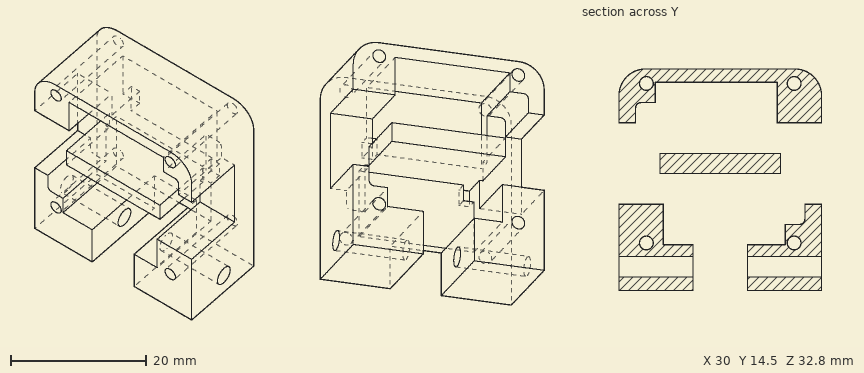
import cadquery as cq

width = 30.0
depth = 14.5
height = 32.8
top_corner_radius = 4.0

mid_height = 18.8
shelf_width = 17.88
shelf_thickness = 3.0

window_height = 12.0
window_depth = 10.0

step_half_width = 12.5
step_height = 3.0
step_corner_radius = 0.75

pocket_width = 18.0
pocket_height = 10.5
pocket_depth = 12.5
pocket_offset = 0.6

opening_width = 1.6
opening_height = 2.5

leg_gap = 8.0

screw_diameter = 2.0
screw_half_spacing = 10.92
screw_heights = (7.05, 30.65)

cross_diameter = 3.0
cross_height = 3.5
cross_from_front = 7.5

shelf_top = mid_height + shelf_thickness / 2
shelf_bottom = mid_height - shelf_thickness / 2
window_top = mid_height + window_height / 2


def front_block(x_min, x_max, z_min, z_max, block_depth):
    """Box that starts at the front face and runs back by block_depth."""
    block = cq.Workplane("XY").box(x_max - x_min, block_depth, z_max - z_min, centered=False)
    return block.translate((x_min, 0, z_min))


def upper_cutter():
    """Pocket, corner opening and stepped relief above the shelf."""
    pocket_left = pocket_offset - pocket_width / 2
    pocket_right = pocket_offset + pocket_width / 2
    pocket = front_block(pocket_left, pocket_right, shelf_top, shelf_top + pocket_height, pocket_depth)
    opening = front_block(
        pocket_left, pocket_left + opening_width, shelf_top, shelf_top + opening_height, depth
    )
    step = front_block(0, step_half_width, shelf_top, window_top + step_height, window_depth)
    step = step.edges("|Y and >X and >Z").fillet(step_corner_radius)
    return pocket.union(opening).union(step)


def lower_cutter():
    """The upper cutter turned half a turn about the middle of the shelf."""
    return upper_cutter().rotate((0, 0, mid_height), (0, 1, mid_height), 180)


def window_cutter():
    """Full-width window with the shelf left standing in it."""
    window = front_block(-width / 2, width / 2, window_top - window_height, window_top, window_depth)
    shelf = front_block(-shelf_width / 2, shelf_width / 2, shelf_bottom, shelf_top, window_depth)
    return window.cut(shelf)


def screw_holes():
    """Four holes that run through from front to back."""
    centres = [(x, z) for x in (-screw_half_spacing, screw_half_spacing) for z in screw_heights]
    return cq.Workplane("XZ").pushPoints(centres).circle(screw_diameter / 2).extrude(-depth)


def cross_hole():
    """One hole through both legs along X."""
    hole = cq.Workplane("YZ").center(cross_from_front, cross_height).circle(cross_diameter / 2)
    return hole.extrude(width / 2, both=True)


body = front_block(-width / 2, width / 2, 0, height, depth)
body = body.edges("|Y and >Z").fillet(top_corner_radius)

leg_slot_top = shelf_bottom - pocket_height
leg_slot = front_block(-leg_gap / 2, leg_gap / 2, 0, leg_slot_top, depth)

result = (
    body.cut(window_cutter())
    .cut(upper_cutter())
    .cut(lower_cutter())
    .cut(leg_slot)
    .cut(screw_holes())
    .cut(cross_hole())
)